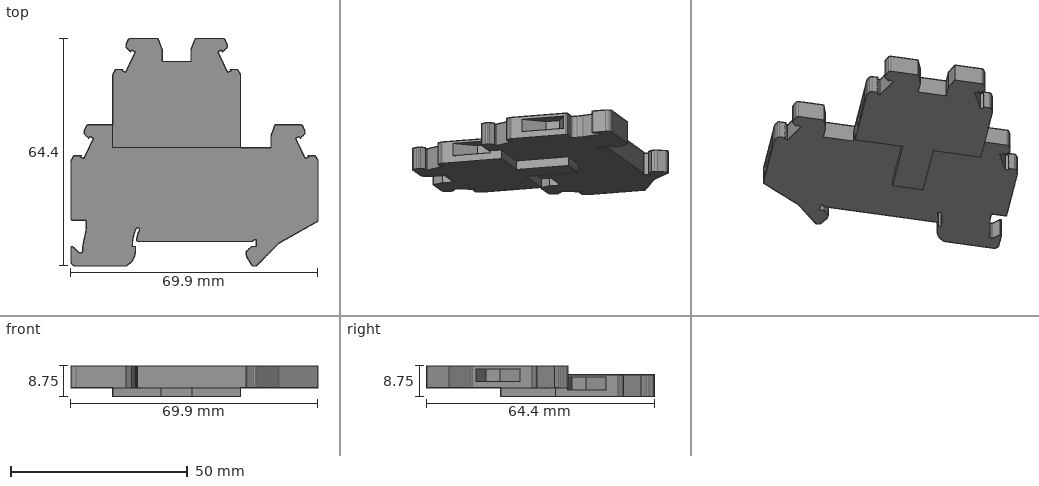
import cadquery as cq
import math


WIDTH = 69.9
HEIGHT = 64.4
THICKNESS = 8.75
PLATE_THICKNESS = 6.2
MAIN_BOTTOM_Z = THICKNESS - PLATE_THICKNESS

MAIN_TOP_Y = 40.0
UPPER_LEFT = 11.8
UPPER_WIDTH = 36.15
UPPER_RIGHT = UPPER_LEFT + UPPER_WIDTH
UPPER_BOTTOM_Y = 36.35

NOTCH_DEPTH = 6.5
FLARE_HEIGHT = 3.15
MAIN_HEAD_WIDTH = 13.35
MAIN_FLARE = 1.1
UPPER_HEAD_WIDTH = 14.05
UPPER_FLARE = 1.25
NOTCH_FLOOR_Y = MAIN_TOP_Y - NOTCH_DEPTH

HEAD_SIDE = [
    (0.0, 10.2, 0.7),
    (0.8, 8.75, 0.7),
    (2.95, 8.75, 0.0),
    (2.65, 9.1, 0.0),
    (3.6, 9.6, 0.0),
    (6.35, 3.85, 0.0),
    (5.4, 3.35, 0.0),
    (5.0, 3.85, 0.0),
    (3.7, 2.5, 0.55),
    (3.7, 1.8, 1.7),
    (4.55, 0.0, 0.7),
]

TONGUE_WIDTH = 8.75
TONGUE_END_Y = 20.9

POCKET_TOP = 13.6
MAIN_POCKET_BOTTOM = 26.0
UPPER_POCKET_BOTTOM = 24.6
POCKET_FLOOR_TOP = 19.3
POCKET_FLOOR_BOTTOM = 23.3
POCKET_DEPTH = 4.75
POCKET_HEIGHT = 3.55
MAIN_POCKET_COVER = 0.85
UPPER_POCKET_COVER = 0.7

RAIL_FACE_Y = 6.9
EDGE_ROUND = 0.4
SIDE_END_Y = 12.9

RIGHT_CLIP = [
    (51.2, RAIL_FACE_Y, 0.0),
    (51.9, 7.4, 0.0),
    (52.35, 7.4, 0.0),
    (52.35, 5.6, 0.0),
    (51.1, 5.6, 0.85),
    (49.55, 4.1, 0.0),
    (49.55, 2.8, 1.4),
    (51.3, 0.0, 0.6),
    (52.4, 0.0, 0.4),
    (58.65, 6.35, 1.4),
    (WIDTH, 12.7, EDGE_ROUND),
]

LEFT_HOOK = [
    (0.0, 0.0, 1.4),
    (0.0, 5.6, EDGE_ROUND),
    (0.5, 5.6, 0.0),
    (2.4, 3.7, 0.35),
    (3.3, 3.85, 0.55),
    (3.35, 5.7, 0.7),
    (4.3, 10.5, 8.95),
    (4.3, SIDE_END_Y, 0.35),
    (0.0, SIDE_END_Y, EDGE_ROUND),
]

FOOT_BEVEL_START = (15.6, 0.0)
FOOT_BEVEL_END = (17.1, 1.1)
FOOT_ROUND_MIDDLE = (17.95, 2.65)
FOOT_LEDGE = (18.25, 5.6)

SLOT_LEFT_START = (17.4, 5.6)
SLOT_LEFT_MIDDLE = (17.7, 8.4)
SLOT_LEFT_END = (18.45, 10.55)
SLOT_TIP = (19.1, 10.75)
SLOT_RIGHT_END = (19.35, 10.15)
SLOT_RIGHT_MIDDLE = (18.8, 8.8)
SLOT_RIGHT_START = (18.5, 7.3)
SLOT_MOUTH = (18.8, RAIL_FACE_Y)


def unit_vector(start, end):
    length = math.dist(start[:2], end[:2])
    return ((end[0] - start[0]) / length, (end[1] - start[1]) / length)


def rounded_path(wire, corners, end):
    """Extend a wire through (x, y, radius) corners, rounding each one, up to end.

    The wire must already stand at the first corner, which stays sharp.
    """
    path = corners + [end]
    for before, corner, after in zip(path, path[1:], path[2:]):
        x, y, radius = corner
        if radius == 0:
            wire = wire.lineTo(x, y)
            continue
        back = unit_vector(corner, before)
        ahead = unit_vector(corner, after)
        half_angle = math.acos(back[0] * ahead[0] + back[1] * ahead[1]) / 2
        tangent = radius / math.tan(half_angle)
        to_middle = radius / math.sin(half_angle) - radius
        inward = unit_vector((0, 0), (back[0] + ahead[0], back[1] + ahead[1]))
        wire = wire.lineTo(x + back[0] * tangent, y + back[1] * tangent)
        wire = wire.threePointArc(
            (x + inward[0] * to_middle, y + inward[1] * to_middle),
            (x + ahead[0] * tangent, y + ahead[1] * tangent),
        )
    return wire.lineTo(end[0], end[1])


def head_side(side, inward, top):
    """Corners from the shoulder on a plate side up to the outer top of its clamp head."""
    return [(side + inward * inset, top - drop, radius) for inset, drop, radius in HEAD_SIDE]


def notch_wall(side, inward, top, head_width, flare):
    """Corners from the inner top of a clamp head down to the notch floor."""
    wall = side + inward * head_width
    return [
        (wall - inward * flare, top, 0.0),
        (wall, top - FLARE_HEIGHT, 0.0),
        (wall, top - NOTCH_DEPTH, 0.0),
    ]


def wire_pocket(side, inward, head_top, pocket_bottom, ceiling_z):
    """Tapered wire entry that opens on a plate side."""
    floor = side + inward * POCKET_DEPTH
    return (
        cq.Workplane("XY", origin=(0, 0, ceiling_z - POCKET_HEIGHT))
        .moveTo(side, head_top - POCKET_TOP)
        .lineTo(floor, head_top - POCKET_FLOOR_TOP)
        .lineTo(floor, head_top - POCKET_FLOOR_BOTTOM)
        .lineTo(side, head_top - pocket_bottom)
        .close()
        .extrude(POCKET_HEIGHT)
    )


def box(x_min, x_max, y_min, y_max, z_min, z_max):
    size = (x_max - x_min, y_max - y_min, z_max - z_min)
    return cq.Workplane("XY").box(*size, centered=False).translate((x_min, y_min, z_min))


def main_plate():
    outline = (
        cq.Workplane("XY", origin=(0, 0, MAIN_BOTTOM_Z))
        .moveTo(*FOOT_BEVEL_START)
        .lineTo(*FOOT_BEVEL_END)
        .threePointArc(FOOT_ROUND_MIDDLE, FOOT_LEDGE)
        .lineTo(*SLOT_LEFT_START)
        .threePointArc(SLOT_LEFT_MIDDLE, SLOT_LEFT_END)
        .threePointArc(SLOT_TIP, SLOT_RIGHT_END)
        .threePointArc(SLOT_RIGHT_MIDDLE, SLOT_RIGHT_START)
        .lineTo(*SLOT_MOUTH)
    )
    corners = (
        [(*SLOT_MOUTH, 0.0)]
        + RIGHT_CLIP
        + head_side(WIDTH, -1, MAIN_TOP_Y)
        + notch_wall(WIDTH, -1, MAIN_TOP_Y, MAIN_HEAD_WIDTH, MAIN_FLARE)
        + [(UPPER_LEFT, NOTCH_FLOOR_Y, 0.0), (UPPER_LEFT, MAIN_TOP_Y, 0.0)]
        + head_side(0.0, 1, MAIN_TOP_Y)[::-1]
        + LEFT_HOOK[::-1]
    )
    plate = rounded_path(outline, corners, FOOT_BEVEL_START).close().extrude(PLATE_THICKNESS)
    ceiling_z = THICKNESS - MAIN_POCKET_COVER
    for side, inward in ((0.0, 1), (WIDTH, -1)):
        plate = plate.cut(wire_pocket(side, inward, MAIN_TOP_Y, MAIN_POCKET_BOTTOM, ceiling_z))
    return plate


def upper_plate():
    start = (UPPER_LEFT, UPPER_BOTTOM_Y)
    corners = (
        [(*start, 0.0)]
        + head_side(UPPER_LEFT, 1, HEIGHT)
        + notch_wall(UPPER_LEFT, 1, HEIGHT, UPPER_HEAD_WIDTH, UPPER_FLARE)
        + notch_wall(UPPER_RIGHT, -1, HEIGHT, UPPER_HEAD_WIDTH, UPPER_FLARE)[::-1]
        + head_side(UPPER_RIGHT, -1, HEIGHT)[::-1]
        + [(UPPER_RIGHT, UPPER_BOTTOM_Y, 0.0)]
    )
    outline = cq.Workplane("XY").moveTo(*start)
    plate = rounded_path(outline, corners, start).close().extrude(PLATE_THICKNESS)
    ceiling_z = PLATE_THICKNESS - UPPER_POCKET_COVER
    for side, inward in ((UPPER_LEFT, 1), (UPPER_RIGHT, -1)):
        plate = plate.cut(wire_pocket(side, inward, HEIGHT, UPPER_POCKET_BOTTOM, ceiling_z))
    return plate


def joining_web():
    """Strip that carries the upper plate down to the notch floor of the main plate."""
    return box(UPPER_LEFT, UPPER_RIGHT, NOTCH_FLOOR_Y, UPPER_BOTTOM_Y, MAIN_BOTTOM_Z, PLATE_THICKNESS)


def tongue():
    """Tongue from the upper plate running under the main plate."""
    left = UPPER_LEFT + (UPPER_WIDTH - TONGUE_WIDTH) / 2
    return box(left, left + TONGUE_WIDTH, TONGUE_END_Y, UPPER_BOTTOM_Y, 0.0, MAIN_BOTTOM_Z)


result = main_plate().union(upper_plate()).union(joining_web()).union(tongue())